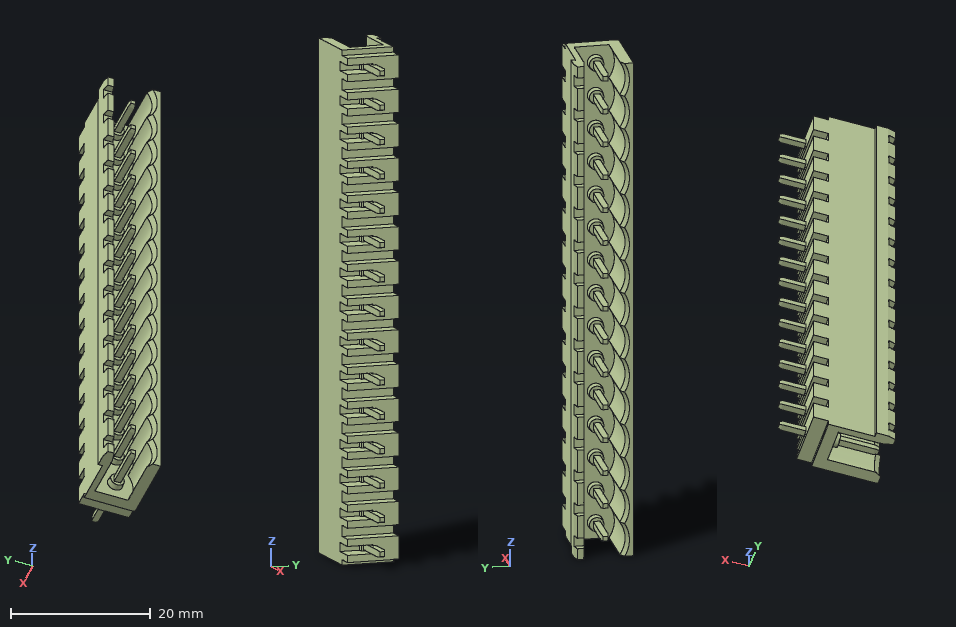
import cadquery as cq

POLES = 15
PITCH = 5.0
LENGTH = POLES * PITCH

BODY_DEPTH = 10.0
CAVITY_DEPTH = 8.2
BACK_WALL_Y = 7.85
CAVITY_TOP_Y = 6.9

HOOK_Y = 8.5
HOOK_LENGTH = 3.0
HOOK_RAMP_LENGTH = 1.2
HOOK_TIP_TOP_Y = 8.2
HOOK_TIP_BOTTOM_Y = 7.25
HOOK_BEVEL_LENGTH = 1.6
HOOK_NOTCH_DEPTH = 1.1
HOOK_NOTCH_WIDTH = 1.6

SCALLOP_LOW_Y = 1.05
SCALLOP_CUSP_Y = 1.85
SCALLOP_RISE = SCALLOP_CUSP_Y - SCALLOP_LOW_Y
SCALLOP_RADIUS = ((PITCH / 2) ** 2 + SCALLOP_RISE ** 2) / (2 * SCALLOP_RISE)
SCALLOP_AXIS_Y = SCALLOP_LOW_Y + SCALLOP_RADIUS
MOUTH_FLARE = 0.45
MOUTH_FLARE_LENGTH = 0.9

FOOT_END = 12.25
FOOT_WIDTH = 3.4

SLOT_START = 9.1
SLOT_STEP = 9.8
SLOT_WIDTH = 1.3
SLOT_SHALLOW_Y = 3.0

PIN_Y = 3.85
PIN_SIZE = 1.0
PIN_TIP_SIZE = 0.7
PIN_START = 1.1
PIN_END = 16.2
FRONT_TAPER = 0.7
REAR_TAPER = 0.5
COLLAR_START = 7.2
COLLAR_FRONT_DIAMETER = 2.1
COLLAR_BASE_DIAMETER = 2.3

POLE_CENTRES = [(pole + 0.5) * PITCH for pole in range(POLES)]


def box(x_range, y_range, z_range):
    """Axis-aligned box between the given limits."""
    size = [high - low for low, high in (x_range, y_range, z_range)]
    corner = (x_range[0], y_range[0], z_range[0])
    return cq.Workplane("XY").box(*size, centered=False).translate(corner)


def around(centre, width):
    """Limits of a span of the given width about its centre."""
    return (centre - width / 2, centre + width / 2)


def at_every_pole(shape):
    """Copies of a shape built at Z = 0, one at each pole."""
    return [shape.val().moved(cq.Location(cq.Vector(0, 0, z))) for z in POLE_CENTRES]


def along_x(x, y=0.0):
    """Workplane facing +X, with its local axes along Y and Z."""
    return cq.Workplane("YZ", origin=(x, y, 0))


def add_all(body, shapes):
    return cq.Workplane(body.val().fuse(*shapes))


def cut_all(body, shapes):
    return cq.Workplane(body.val().cut(*shapes))


def make_housing():
    """U-shaped channel with the latch hook, extruded over all poles."""
    outline = [
        (0, 0),
        (BODY_DEPTH, 0),
        (BODY_DEPTH, BACK_WALL_Y),
        (HOOK_LENGTH, BACK_WALL_Y),
        (HOOK_LENGTH, HOOK_Y),
        (HOOK_RAMP_LENGTH, HOOK_Y),
        (0, HOOK_TIP_TOP_Y),
        (0, HOOK_TIP_BOTTOM_Y),
        (HOOK_BEVEL_LENGTH, CAVITY_TOP_Y),
        (CAVITY_DEPTH, CAVITY_TOP_Y),
        (CAVITY_DEPTH, SCALLOP_CUSP_Y),
        (0, SCALLOP_CUSP_Y),
    ]
    return cq.Workplane("XY").polyline(outline).close().extrude(LENGTH)


def make_scallop_cutter():
    """Cylinder with a flared mouth, lower half only, kept to its own pole."""
    cylinder = along_x(0, SCALLOP_AXIS_Y).circle(SCALLOP_RADIUS).extrude(CAVITY_DEPTH)
    flare = (
        along_x(0, SCALLOP_AXIS_Y)
        .circle(SCALLOP_RADIUS + MOUTH_FLARE)
        .workplane(offset=MOUTH_FLARE_LENGTH)
        .circle(SCALLOP_RADIUS)
        .loft()
    )
    pole_space = box((0, CAVITY_DEPTH), (0, SCALLOP_AXIS_Y), around(0, PITCH))
    return cylinder.union(flare).intersect(pole_space)


def make_hook_notch():
    return box((0, HOOK_NOTCH_DEPTH), (CAVITY_TOP_Y, HOOK_Y), around(0, HOOK_NOTCH_WIDTH))


def make_foot():
    return box((BODY_DEPTH, FOOT_END), (0, BACK_WALL_Y), around(0, FOOT_WIDTH))


def make_slot():
    """Slot stepping down from a shallow end to the pin axis."""
    z_range = around(0, SLOT_WIDTH)
    shallow = box((SLOT_START, FOOT_END), (0, SLOT_SHALLOW_Y), z_range)
    deep = box((SLOT_STEP, FOOT_END), (0, PIN_Y), z_range)
    return shallow.union(deep)


def make_pin():
    """Square pin tapered at both ends, with a conical collar on the cavity floor."""
    front_shoulder = PIN_START + FRONT_TAPER
    rear_shoulder = PIN_END - REAR_TAPER
    shank_length = rear_shoulder - front_shoulder
    shank = along_x(front_shoulder, PIN_Y).rect(PIN_SIZE, PIN_SIZE).extrude(shank_length)
    front_tip = make_taper(PIN_START, PIN_TIP_SIZE, FRONT_TAPER, PIN_SIZE)
    rear_tip = make_taper(rear_shoulder, PIN_SIZE, REAR_TAPER, PIN_TIP_SIZE)
    collar = (
        along_x(COLLAR_START, PIN_Y)
        .circle(COLLAR_FRONT_DIAMETER / 2)
        .workplane(offset=CAVITY_DEPTH - COLLAR_START)
        .circle(COLLAR_BASE_DIAMETER / 2)
        .loft()
    )
    return shank.union(front_tip).union(rear_tip).union(collar)


def make_taper(x, start_size, length, end_size):
    """Square frustum running along the pin axis."""
    return (
        along_x(x, PIN_Y)
        .rect(start_size, start_size)
        .workplane(offset=length)
        .rect(end_size, end_size)
        .loft()
    )


housing = make_housing()
housing = cut_all(housing, at_every_pole(make_scallop_cutter()))
housing = cut_all(housing, at_every_pole(make_hook_notch()))
housing = add_all(housing, at_every_pole(make_foot()))
housing = cut_all(housing, at_every_pole(make_slot()))
result = add_all(housing, at_every_pole(make_pin())).clean()